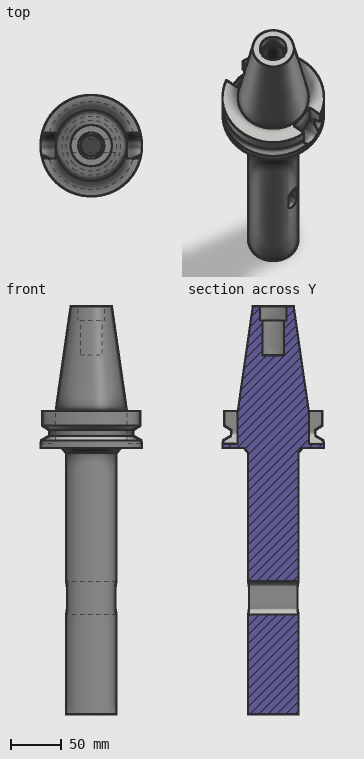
import cadquery as cq

total_height = 402.0
gauge_line_z = 299.7
flange_top_z = 298.5
upper_rim_bottom_z = 284.0
groove_top_z = 279.5
groove_bottom_z = 274.0
lower_rim_top_z = 269.5
flange_bottom_z = 262.0
shank_top_z = 257.0

shank_diameter = 50.0
collar_diameter = 58.0
flange_diameter = 100.0
groove_diameter = 86.8
taper_large_diameter = 70.0
taper_small_diameter = 40.5

entry_diameter = 25.7
entry_depth = 14.0
pilot_diameter = 21.0
pilot_depth = 48.2

keyway_width = 25.7
keyway_floor_x = 35.5
keyway_bottom_z = 266.5

slot_width = 13.3
slot_height = 32.5
slot_center_z = 114.5


def holder_body():
    """Revolve the shank, grooved flange and taper as one solid."""
    half_profile = [
        (0, 0),
        (shank_diameter / 2, 0),
        (shank_diameter / 2, shank_top_z),
        (collar_diameter / 2, flange_bottom_z),
        (flange_diameter / 2, flange_bottom_z),
        (flange_diameter / 2, lower_rim_top_z),
        (groove_diameter / 2, groove_bottom_z),
        (groove_diameter / 2, groove_top_z),
        (flange_diameter / 2, upper_rim_bottom_z),
        (flange_diameter / 2, flange_top_z),
        (taper_large_diameter / 2, flange_top_z),
        (taper_large_diameter / 2, gauge_line_z),
        (taper_small_diameter / 2, total_height),
        (0, total_height),
    ]
    return cq.Workplane("XZ").polyline(half_profile).close().revolve(360, (0, 0), (0, 1))


def top_bore():
    """Stepped blind bore opening at the small end of the taper."""
    mouth = cq.Workplane("XY").workplane(offset=total_height)
    entry = mouth.circle(entry_diameter / 2).extrude(-entry_depth)
    pilot = mouth.circle(pilot_diameter / 2).extrude(-pilot_depth)
    return entry.union(pilot)


def keyway(side):
    """Round-bottomed drive keyway; side is +1 or -1 along X."""
    radius = keyway_width / 2
    arc_center_z = keyway_bottom_z + radius
    return (
        cq.Workplane("YZ", origin=(side * keyway_floor_x, 0, 0))
        .moveTo(-radius, gauge_line_z)
        .lineTo(-radius, arc_center_z)
        .threePointArc((0, keyway_bottom_z), (radius, arc_center_z))
        .lineTo(radius, gauge_line_z)
        .close()
        .extrude(side * flange_diameter / 2)
    )


def drift_slot():
    """Vertical obround slot passing through the shank along X."""
    return (
        cq.Workplane("YZ", origin=(0, 0, slot_center_z))
        .slot2D(slot_height, slot_width, 90)
        .extrude(shank_diameter, both=True)
    )


result = holder_body().cut(top_bore()).cut(drift_slot())
for side in (-1, 1):
    result = result.cut(keyway(side))